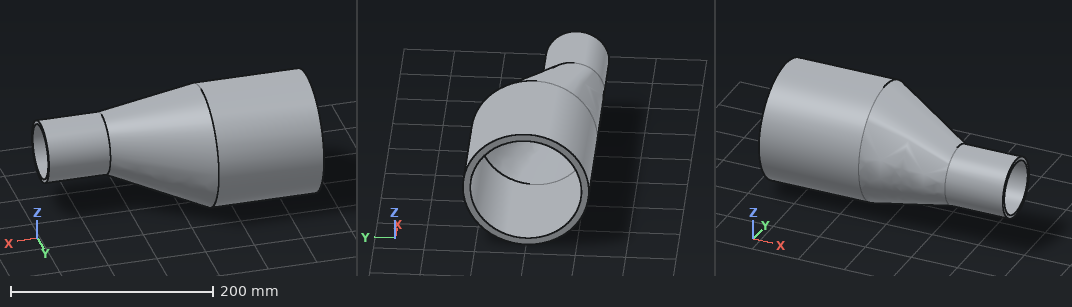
import cadquery as cq

total_length = 265.0
large_length = 108.0
small_length = 63.0
cone_length = total_length - large_length - small_length

large_outer = 125.0
large_bore = 110.2
small_outer = 63.0
small_bore = 55.5

small_center_y = -(large_outer - small_outer) / 2
cone_end_x = large_length + cone_length


def end_plane(x, y=0.0):
    """Plane facing +X, centred at the given X and Y."""
    return cq.Plane(origin=(x, y, 0), xDir=(0, 1, 0), normal=(1, 0, 0))


def reducer_body(large_diameter, small_diameter):
    """Solid of two offset cylinders joined by an oblique cone."""
    large_end = cq.Workplane(end_plane(0)).circle(large_diameter / 2).extrude(large_length)
    cone = (
        cq.Workplane(end_plane(large_length))
        .circle(large_diameter / 2)
        .workplane(offset=cone_length)
        .center(small_center_y, 0)
        .circle(small_diameter / 2)
        .loft(ruled=True)
    )
    small_end = (
        cq.Workplane(end_plane(cone_end_x, small_center_y))
        .circle(small_diameter / 2)
        .extrude(small_length)
    )
    return large_end.union(cone).union(small_end)


outside = reducer_body(large_outer, small_outer)
passage = reducer_body(large_bore, small_bore)
result = outside.cut(passage)